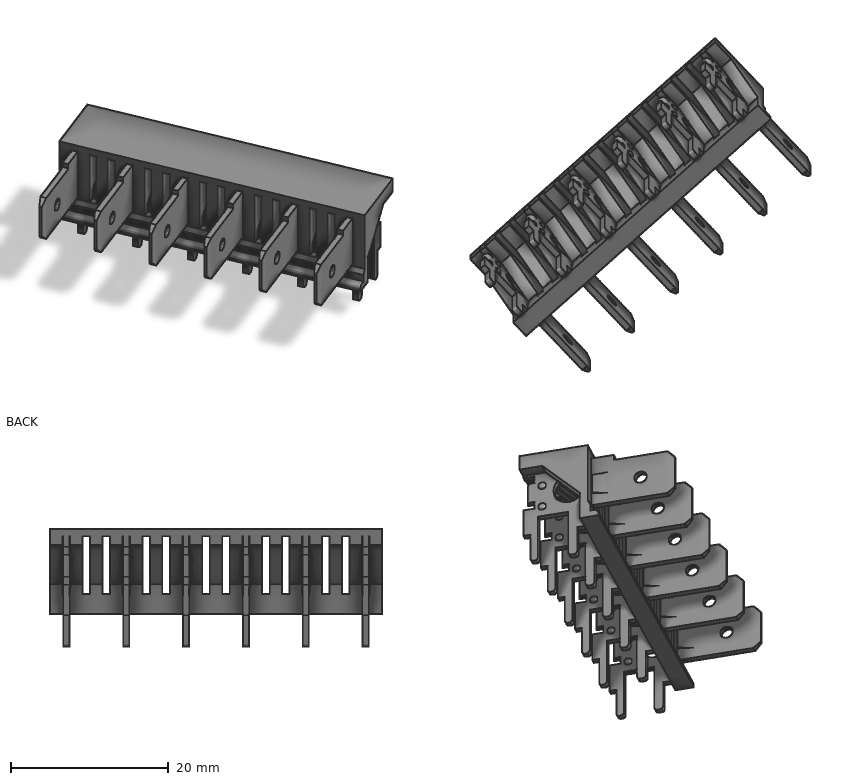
import cadquery as cq


LENGTH = 42.2
OVERALL_HEIGHT = 15.0
HOUSING_TOP = 10.85
HOUSING_DEPTH = 9.05
SLAB_BOTTOM = 8.82
WALL_THICKNESS = 1.0
DIAGONAL_SIZE = 5.02
BEVEL_TOP = 2.58
BEVEL_BOTTOM = 1.9
BEVEL_DEPTH = 0.4
LIP_DEPTH = 1.45
LIP_HEIGHT = 0.9
LIP_RADIUS = 0.5

TERMINAL_COUNT = 6
TERMINAL_PITCH = 7.6
SLOTS_PER_PITCH = 3
SLOT_WIDTH = 0.93
FIRST_TERMINAL_X = (LENGTH - (TERMINAL_COUNT - 1) * TERMINAL_PITCH) / 2

THICKNESS = 0.8
HOLE_LEVEL = 5.85
BLADE_REACH = 10.98
BLADE_HEIGHT = 6.3
BLADE_BOTTOM = 2.83
BLADE_TOP = BLADE_BOTTOM + BLADE_HEIGHT
SHOULDER_TOP = 9.9
SHOULDER_REACH = 2.95
SHOULDER_RAMP_LENGTH = 0.3
SHOULDER_RAMP_HEIGHT = 0.1
TIP_CHAMFER = 0.9
TIP_THICKNESS = 0.4
BLADE_HOLE_DIAMETER = 1.65
BLADE_HOLE_Y = -6.5

PLATE_BOTTOM = -0.13
NOTCH_Y = 7.55
NOTCH_BOTTOM = 3.7
NOTCH_TOP = 8.55
PLATE_HOLE_DIAMETER = 4.0
PLATE_HOLE_Y = 3.05

LEG_BOTTOM = HOUSING_TOP - OVERALL_HEIGHT
LEG_TIP_RADIUS = 0.42
FRONT_LEG = (1.9, 3.1)
REAR_LEG = (7.1, 8.1)
LEG_GAP_TOP = 2.4

FOLD_BOTTOM = 4.73
FOLD_TOP = 7.55
FOLD_REAR_Y = 8.65
DIMPLE_DIAMETER = 1.0
DIMPLE_HEIGHT = 0.2
DIMPLE_Y = 6.55
DIMPLE_LEVELS = (3.85, 6.95)
BARB_HEIGHT = 0.3
BARB_LEVEL = 5.85
BARB_FRONT_WIDTH = 3.12
BARB_REAR_WIDTH = 2.6
BARB_FRONT_Y = -2.05
BARB_REAR_Y = -0.13


def plate(points, thickness):
    """Flat plate from a (Y, Z) outline, starting at X = 0."""
    return cq.Workplane("YZ").polyline(points).close().extrude(thickness)


def block(x_range, y_range, z_range):
    """Box given by its limits along the three axes."""
    sizes = [high - low for low, high in (x_range, y_range, z_range)]
    corner = (x_range[0], y_range[0], z_range[0])
    return cq.Workplane("XY").box(*sizes, centered=False).translate(corner)


def make_housing():
    diagonal_bottom = SLAB_BOTTOM - DIAGONAL_SIZE
    housing = (
        cq.Workplane("YZ")
        .moveTo(HOUSING_DEPTH, HOUSING_TOP)
        .lineTo(HOUSING_DEPTH, SLAB_BOTTOM)
        .lineTo(WALL_THICKNESS + DIAGONAL_SIZE, SLAB_BOTTOM)
        .lineTo(WALL_THICKNESS, diagonal_bottom)
        .lineTo(WALL_THICKNESS, 0)
        .lineTo(-LIP_DEPTH, 0)
        .lineTo(-LIP_DEPTH, LIP_HEIGHT - LIP_RADIUS)
        .radiusArc((-LIP_DEPTH + LIP_RADIUS, LIP_HEIGHT), LIP_RADIUS)
        .lineTo(-BEVEL_DEPTH, LIP_HEIGHT)
        .lineTo(-BEVEL_DEPTH, BEVEL_BOTTOM)
        .lineTo(0, BEVEL_TOP)
        .lineTo(0, HOUSING_TOP)
        .close()
        .extrude(LENGTH)
    )
    slot_count = (TERMINAL_COUNT - 1) * SLOTS_PER_PITCH + 1
    for index in range(slot_count):
        x = FIRST_TERMINAL_X + index * TERMINAL_PITCH / SLOTS_PER_PITCH
        x_range = (x - SLOT_WIDTH / 2, x + SLOT_WIDTH / 2)
        housing = housing.cut(block(x_range, (0, HOUSING_DEPTH), (BEVEL_TOP, SHOULDER_TOP)))
    return housing


def make_blade():
    """Push-on blade with a shoulder and its short foot ramp, a tapered tip and a detent hole."""
    blade = block((0, THICKNESS), (-BLADE_REACH, 0), (BLADE_BOTTOM, BLADE_TOP))
    blade = blade.faces("<Y").edges("|X").chamfer(TIP_CHAMFER)
    tip_start = -BLADE_REACH + TIP_CHAMFER
    tip_inset = (THICKNESS - TIP_THICKNESS) / 2
    taper = (
        cq.Workplane("XY", origin=(0, 0, BLADE_BOTTOM))
        .polyline([
            (0, 0),
            (0, tip_start),
            (tip_inset, -BLADE_REACH),
            (THICKNESS - tip_inset, -BLADE_REACH),
            (THICKNESS, tip_start),
            (THICKNESS, 0),
        ])
        .close()
        .extrude(BLADE_HEIGHT)
    )
    blade = blade.intersect(taper)
    ramp_end = -SHOULDER_REACH - SHOULDER_RAMP_LENGTH
    shoulder = plate(
        [
            (0, BLADE_BOTTOM),
            (0, SHOULDER_TOP),
            (-SHOULDER_REACH, SHOULDER_TOP),
            (-SHOULDER_REACH, BLADE_TOP + SHOULDER_RAMP_HEIGHT),
            (ramp_end, BLADE_TOP),
            (ramp_end, BLADE_BOTTOM),
        ],
        THICKNESS,
    )
    return blade.union(shoulder).cut(round_hole(BLADE_HOLE_Y, BLADE_HOLE_DIAMETER))


def round_hole(y, diameter):
    return cq.Workplane("YZ").center(y, HOLE_LEVEL).circle(diameter / 2).extrude(THICKNESS)


def make_leg(y_range):
    leg = block((0, THICKNESS), y_range, (LEG_BOTTOM, LEG_GAP_TOP))
    return leg.faces("<Z").edges("|X").fillet(LEG_TIP_RADIUS)


def make_plate():
    """Plate behind the front wall, filling its slot and carrying the legs."""
    body = plate(
        [
            (0, BLADE_BOTTOM),
            (0, SHOULDER_TOP),
            (HOUSING_DEPTH, SHOULDER_TOP),
            (HOUSING_DEPTH, NOTCH_TOP),
            (NOTCH_Y, NOTCH_TOP),
            (NOTCH_Y, NOTCH_BOTTOM),
            (HOUSING_DEPTH, NOTCH_BOTTOM),
            (HOUSING_DEPTH, PLATE_BOTTOM),
            (REAR_LEG[0], PLATE_BOTTOM),
            (REAR_LEG[0], LEG_GAP_TOP),
            (FRONT_LEG[1], LEG_GAP_TOP),
            (FRONT_LEG[1], PLATE_BOTTOM),
            (WALL_THICKNESS, PLATE_BOTTOM),
            (WALL_THICKNESS, BLADE_BOTTOM),
        ],
        THICKNESS,
    )
    for leg in (FRONT_LEG, REAR_LEG):
        body = body.union(make_leg(leg))
    return body.cut(round_hole(PLATE_HOLE_Y, PLATE_HOLE_DIAMETER))


def make_fold():
    """Tongue in the rear notch, rounded over on its left rear edge."""
    bend_start = FOLD_REAR_Y - THICKNESS
    return (
        cq.Workplane("XY", origin=(0, 0, FOLD_BOTTOM))
        .moveTo(0, NOTCH_Y)
        .lineTo(0, bend_start)
        .radiusArc((THICKNESS, FOLD_REAR_Y), THICKNESS)
        .lineTo(THICKNESS, NOTCH_Y)
        .close()
        .extrude(FOLD_TOP - FOLD_BOTTOM)
    )


def make_dimple(z):
    """Spherical cap standing out of the left face of the plate."""
    base_radius = DIMPLE_DIAMETER / 2
    sphere_radius = (base_radius**2 + DIMPLE_HEIGHT**2) / (2 * DIMPLE_HEIGHT)
    return (
        cq.Workplane("XY", origin=(0, DIMPLE_Y, z))
        .moveTo(0, 0)
        .lineTo(-DIMPLE_HEIGHT, 0)
        .radiusArc((0, base_radius), sphere_radius)
        .close()
        .revolve(360, (0, 0, 0), (1, 0, 0))
    )


def make_barb():
    """Wedge on the left face, highest and narrowest next to the housing."""
    half_front = BARB_FRONT_WIDTH / 2
    half_rear = BARB_REAR_WIDTH / 2
    outline = plate(
        [
            (BARB_FRONT_Y, BARB_LEVEL - half_front),
            (BARB_FRONT_Y, BARB_LEVEL + half_front),
            (BARB_REAR_Y, BARB_LEVEL + half_rear),
            (BARB_REAR_Y, BARB_LEVEL - half_rear),
        ],
        -BARB_HEIGHT,
    )
    wedge = (
        cq.Workplane("XY", origin=(0, 0, BARB_LEVEL - half_front))
        .polyline([(0, BARB_FRONT_Y), (0, BARB_REAR_Y), (-BARB_HEIGHT, BARB_REAR_Y)])
        .close()
        .extrude(BARB_FRONT_WIDTH)
    )
    return wedge.intersect(outline)


def make_terminal():
    terminal = make_plate().union(make_blade()).union(make_fold()).union(make_barb())
    for z in DIMPLE_LEVELS:
        terminal = terminal.union(make_dimple(z))
    return terminal


terminal = make_terminal()
result = make_housing()
for index in range(TERMINAL_COUNT):
    terminal_x = FIRST_TERMINAL_X + index * TERMINAL_PITCH - THICKNESS / 2
    result = result.union(terminal.translate((terminal_x, 0, 0)))